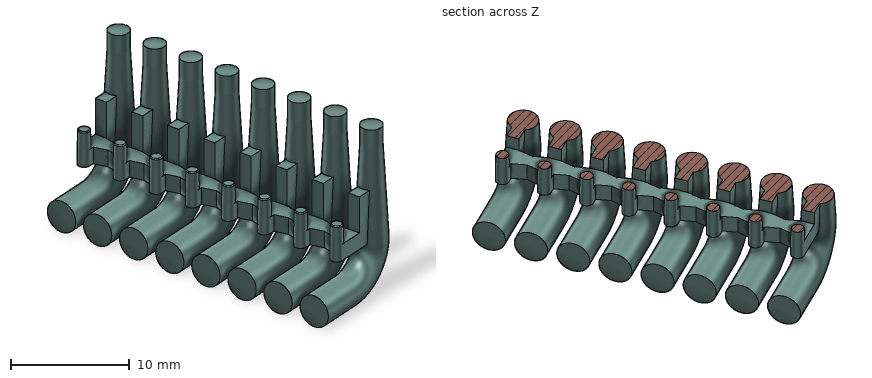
import cadquery as cq

lead_count = 8
row_length = 29.67
lead_diameter = 3.0
lead_radius = lead_diameter / 2
pitch = (row_length - lead_diameter) / (lead_count - 1)
lead_positions = [(i - (lead_count - 1) / 2) * pitch for i in range(lead_count)]

total_height = 16.0
total_depth = 9.5
bend_radius = 3.68
bend_end_z = lead_radius + bend_radius
stub_length = total_depth - lead_radius - bend_radius
tip_diameter = 2.0
tip_length = 1.8

bar_thickness = 1.6
bar_top_z = bend_end_z + bar_thickness
rib_width = 1.2
rib_top_z = 10.27
rib_front = 2.45
bar_front = 4.33
waist_taper = 0.33

pin_base_diameter = rib_width
pin_top_diameter = 1.1
pin_axis = 4.85
pin_height = 1.8
pin_chamfer = 0.1


def make_lead():
    """Round lead rising along Z, bending forward to -Y at its lower end."""
    stub = (
        cq.Workplane("XZ", origin=(0, -bend_radius, lead_radius))
        .circle(lead_radius)
        .extrude(stub_length)
    )
    bend = (
        cq.Workplane("XY", origin=(0, 0, bend_end_z))
        .circle(lead_radius)
        .revolve(90, (0, -bend_radius), (-1, -bend_radius))
    )
    taper = (
        cq.Workplane("XY", origin=(0, 0, bend_end_z))
        .circle(lead_radius)
        .workplane(offset=total_height - tip_length - bend_end_z)
        .circle(tip_diameter / 2)
        .loft()
    )
    tip = taper.faces(">Z").workplane().circle(tip_diameter / 2).extrude(tip_length, combine=False)
    return stub.union(bend).union(taper).union(tip)


def make_rib():
    """Upright rib that joins the front of a lead to the bar."""
    return (
        cq.Workplane("XY", origin=(0, 0, bend_end_z))
        .center(0, -rib_front / 2)
        .rect(rib_width, rib_front)
        .extrude(rib_top_z - bend_end_z)
    )


def make_lug():
    """Round-nosed lug at the front of the bar that carries a pin."""
    block = (
        cq.Workplane("XY", origin=(0, 0, bend_end_z))
        .center(0, -(rib_front + pin_axis) / 2)
        .rect(rib_width, pin_axis - rib_front)
        .extrude(bar_thickness)
    )
    nose = (
        cq.Workplane("XY", origin=(0, -pin_axis, bend_end_z))
        .circle(rib_width / 2)
        .extrude(bar_thickness)
    )
    return block.union(nose)


def make_pin():
    """Slightly tapered pin standing on the lug, with a chamfered top."""
    return (
        cq.Workplane("XY", origin=(0, -pin_axis, bar_top_z))
        .circle(pin_base_diameter / 2)
        .workplane(offset=pin_height)
        .circle(pin_top_diameter / 2)
        .loft()
        .faces(">Z")
        .chamfer(pin_chamfer)
    )


def bar_edge(y_at_lead, y_at_waist):
    """Points of one long side of the bar, from -X to +X."""
    points = []
    for x in lead_positions:
        points.append((x - rib_width / 2, y_at_lead))
        points.append((x + rib_width / 2, y_at_lead))
        if x != lead_positions[-1]:
            points.append((x + pitch / 2, y_at_waist))
    return points


def make_bar():
    """Flat bar across all leads, narrowed to a waist midway between neighbours."""
    back = bar_edge(-rib_front, -rib_front - waist_taper)
    front = bar_edge(-bar_front, -bar_front + waist_taper)
    return (
        cq.Workplane("XY", origin=(0, 0, bend_end_z))
        .polyline(back + front[::-1])
        .close()
        .extrude(bar_thickness)
    )


lead_unit = make_lead().union(make_rib()).union(make_lug()).union(make_pin())
result = make_bar()
for x in lead_positions:
    result = result.union(lead_unit.translate((x, 0, 0)))